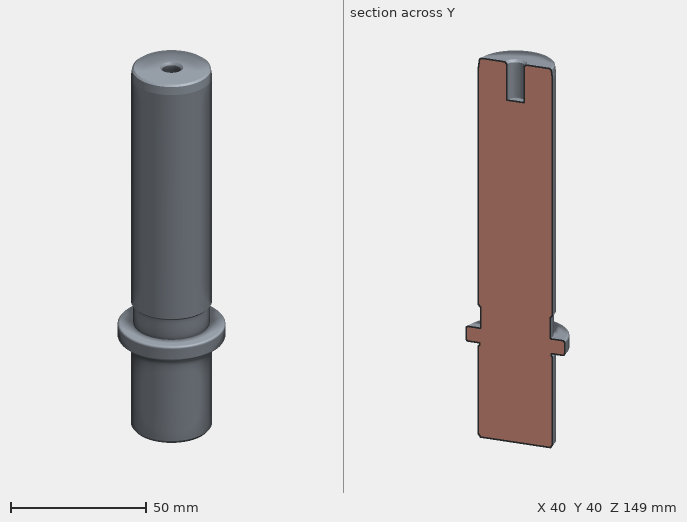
import cadquery as cq

total_length = 149.0
flange_bottom = 37.0
flange_thickness = 6.0
flange_top = flange_bottom + flange_thickness
neck_top = 51.1

shaft_radius = 15.0
flange_radius = 20.0
neck_radius = 14.2
relief_radius = 14.6
lead_in_radius = 14.6

flange_fillet = 0.9
foot_chamfer_height = 1.2
foot_chamfer_width = 0.9
neck_chamfer = shaft_radius - neck_radius
relief_height = 0.7
relief_chamfer = shaft_radius - relief_radius
lead_in_length = 3.7
tip_chamfer_height = 0.6
tip_chamfer_width = 0.7

hole_radius = 3.5
hole_depth = 14.9
countersink_radius = 4.3
countersink_depth = countersink_radius - hole_radius


def make_body():
    """Revolve the half profile of the stepped pin about Z."""
    relief_bottom = flange_bottom - relief_height
    flange_face_radius = flange_radius - flange_fillet
    profile = (
        cq.Workplane("XZ")
        .lineTo(shaft_radius - foot_chamfer_width, 0)
        .lineTo(shaft_radius, foot_chamfer_height)
        .lineTo(shaft_radius, relief_bottom - relief_chamfer)
        .lineTo(relief_radius, relief_bottom)
        .lineTo(relief_radius, flange_bottom)
        .lineTo(flange_face_radius, flange_bottom)
        .radiusArc((flange_radius, flange_bottom + flange_fillet), -flange_fillet)
        .lineTo(flange_radius, flange_top - flange_fillet)
        .radiusArc((flange_face_radius, flange_top), -flange_fillet)
        .lineTo(neck_radius, flange_top)
        .lineTo(neck_radius, neck_top)
        .lineTo(shaft_radius, neck_top + neck_chamfer)
        .lineTo(shaft_radius, total_length - lead_in_length)
        .lineTo(lead_in_radius, total_length - tip_chamfer_height)
        .lineTo(lead_in_radius - tip_chamfer_width, total_length)
        .lineTo(0, total_length)
        .close()
    )
    return profile.revolve(360, (0, 0, 0), (0, 1, 0))


def make_centre_hole():
    """Revolve the blind, countersunk hole about Z."""
    hole_bottom = total_length - hole_depth
    profile = [
        (0, hole_bottom),
        (hole_radius, hole_bottom),
        (hole_radius, total_length - countersink_depth),
        (countersink_radius, total_length),
        (0, total_length),
    ]
    return cq.Workplane("XZ").polyline(profile).close().revolve(360, (0, 0, 0), (0, 1, 0))


result = make_body().cut(make_centre_hole())